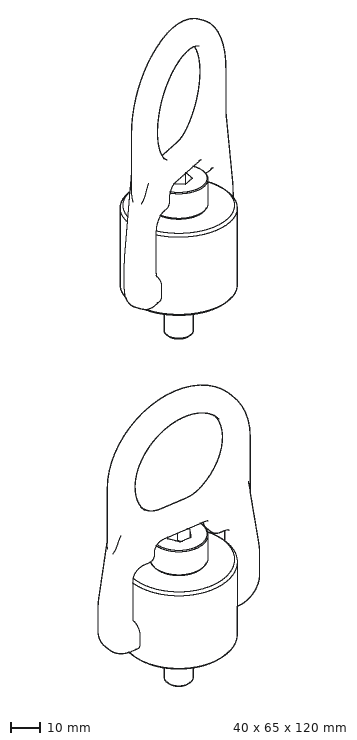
import cadquery as cq
import math


BODY_DIAMETER = 40.0
BODY_HEIGHT = 32.3
BODY_CHAMFER = 1.0
SHANK_DIAMETER = 10.0
SHANK_LENGTH = 18.0
SHANK_CHAMFER = 1.0
NECK_DIAMETER = 19.0
NECK_HEIGHT = 0.7
HEAD_DIAMETER = 20.0
HEAD_HEIGHT = 10.0
HEAD_CHAMFER = 0.4
SOCKET_ACROSS_FLATS = 8.0
SOCKET_DEPTH = 6.0

RING_TOP = 120.0 - SHANK_LENGTH
RING_THICKNESS = 8.5
RING_RADIUS = 29.0
RING_CENTER_Z = RING_TOP - RING_RADIUS
EDGE_FILLET = 3.0

CREST_HALF_WIDTH = 1.26
CREST_BLEND_RADIUS = 2.4
BEVEL_START = (2.9, 1.3)
BEVEL_END = (3.5, 2.4)
SIDE_BLEND_RADIUS = 4.8
CROWN_DEPTH = 4.3

FRAME_HALF_WIDTH = 65.0 / 2
FRAME_BOTTOM = 4.3
FRAME_CORNER_RADIUS = 10.0
FLANK_START_Z = 22.9
FLANK_BLEND_RADIUS = 30.0
FLANK_ANGLE = math.radians(9)
FRAME_TOP = 57.6

EYE_RADIUS = 20.0
EYE_FLAT_DROP = 18.4
EYE_FLAT_HALF_WIDTH = 5.3

WINDOW_BOTTOM = 14.4
WINDOW_SHOULDER_Z = 38.3
WINDOW_TOP = 45.6
WINDOW_HALF_WIDTH = 21.0
WINDOW_NECK_HALF_WIDTH = 11.9
WINDOW_CORNER_RADIUS = 4.0
WINDOW_STEP_RADIUS = 3.0


def make_body():
    body = cq.Workplane("XY").circle(BODY_DIAMETER / 2).extrude(BODY_HEIGHT)
    return body.faces("<Z or >Z").edges().chamfer(BODY_CHAMFER)


def make_screw():
    shank = cq.Workplane("XY").circle(SHANK_DIAMETER / 2).extrude(-SHANK_LENGTH)
    shank = shank.faces("<Z").edges().chamfer(SHANK_CHAMFER)

    neck = cq.Workplane("XY").workplane(offset=BODY_HEIGHT)
    neck = neck.circle(NECK_DIAMETER / 2).extrude(NECK_HEIGHT)

    head_bottom = BODY_HEIGHT + NECK_HEIGHT
    head = cq.Workplane("XY").workplane(offset=head_bottom)
    head = head.circle(HEAD_DIAMETER / 2).extrude(HEAD_HEIGHT)
    head = head.faces(">Z").edges().chamfer(HEAD_CHAMFER)

    socket = cq.Workplane("XY").workplane(offset=head_bottom + HEAD_HEIGHT)
    socket = socket.transformed(rotate=(0, 0, 90))
    socket = socket.polygon(6, SOCKET_ACROSS_FLATS / math.cos(math.pi / 6)).extrude(-SOCKET_DEPTH)
    return shank, neck.union(head.cut(socket))


def make_frame():
    """Lower part of the ring, flanks leaning inwards towards the top."""
    blend_end_y = FRAME_HALF_WIDTH - FLANK_BLEND_RADIUS * (1 - math.cos(FLANK_ANGLE))
    blend_end_z = FLANK_START_Z + FLANK_BLEND_RADIUS * math.sin(FLANK_ANGLE)
    blend_mid_y = FRAME_HALF_WIDTH - FLANK_BLEND_RADIUS * (1 - math.cos(FLANK_ANGLE / 2))
    blend_mid_z = FLANK_START_Z + FLANK_BLEND_RADIUS * math.sin(FLANK_ANGLE / 2)
    top_y = blend_end_y - (FRAME_TOP - blend_end_z) * math.tan(FLANK_ANGLE)
    corner_y = FRAME_HALF_WIDTH - FRAME_CORNER_RADIUS
    corner_z = FRAME_BOTTOM + FRAME_CORNER_RADIUS
    corner_reach = FRAME_CORNER_RADIUS * math.sqrt(0.5)

    frame = (
        cq.Workplane("YZ")
        .moveTo(0, FRAME_BOTTOM)
        .lineTo(corner_y, FRAME_BOTTOM)
        .threePointArc(
            (corner_y + corner_reach, corner_z - corner_reach),
            (FRAME_HALF_WIDTH, corner_z),
        )
        .lineTo(FRAME_HALF_WIDTH, FLANK_START_Z)
        .threePointArc((blend_mid_y, blend_mid_z), (blend_end_y, blend_end_z))
        .lineTo(top_y, FRAME_TOP)
        .lineTo(0, FRAME_TOP)
        .mirrorY()
        .extrude(RING_THICKNESS / 2, both=True)
    )
    return frame.faces("<X or >X").edges("not >Z").fillet(EDGE_FILLET)


def crown_section(base):
    """Section of the upper ring in (X, distance from the ring axis), reaching down to that axis."""
    half_thickness = RING_THICKNESS / 2
    start_x, start_drop = BEVEL_START
    end_x, end_drop = BEVEL_END
    start_r = RING_RADIUS - start_drop
    end_r = RING_RADIUS - end_drop
    side_r = RING_RADIUS - CROWN_DEPTH
    return (
        base.moveTo(-half_thickness, 0)
        .lineTo(-half_thickness, side_r)
        .radiusArc((-end_x, end_r), SIDE_BLEND_RADIUS)
        .lineTo(-start_x, start_r)
        .radiusArc((-CREST_HALF_WIDTH, RING_RADIUS), CREST_BLEND_RADIUS)
        .lineTo(CREST_HALF_WIDTH, RING_RADIUS)
        .radiusArc((start_x, start_r), CREST_BLEND_RADIUS)
        .lineTo(end_x, end_r)
        .radiusArc((half_thickness, side_r), SIDE_BLEND_RADIUS)
        .lineTo(half_thickness, 0)
        .close()
    )


def make_upper_ring():
    """Half-round arch standing on a straight block that runs down to the window top."""
    base = cq.Workplane("XY", origin=(0, 0, RING_CENTER_Z))
    arch = crown_section(base).revolve(180, (0, 0), (1, 0))
    half_block = crown_section(base).extrude(WINDOW_TOP - RING_CENTER_Z)
    return half_block.union(half_block.mirror("XZ")).union(arch)


def make_eye():
    drop = EYE_FLAT_DROP
    half_flat = EYE_FLAT_HALF_WIDTH
    blend_radius = (EYE_RADIUS**2 - half_flat**2 - drop**2) / (2 * (EYE_RADIUS - drop))
    blend_z = blend_radius - drop
    touch_angle = math.atan2(blend_z, half_flat)
    mid_angle = (touch_angle - math.pi / 2) / 2
    touch = (EYE_RADIUS * math.cos(touch_angle), EYE_RADIUS * math.sin(touch_angle))
    middle = (
        half_flat + blend_radius * math.cos(mid_angle),
        blend_z + blend_radius * math.sin(mid_angle),
    )
    return (
        cq.Workplane("YZ", origin=(0, 0, RING_CENTER_Z))
        .moveTo(-half_flat, -drop)
        .lineTo(half_flat, -drop)
        .threePointArc(middle, touch)
        .threePointArc((0, EYE_RADIUS), (-touch[0], touch[1]))
        .threePointArc((-middle[0], middle[1]), (-half_flat, -drop))
        .close()
        .extrude(RING_THICKNESS, both=True)
    )


def make_window():
    window = (
        cq.Workplane("YZ")
        .moveTo(0, WINDOW_BOTTOM)
        .lineTo(WINDOW_HALF_WIDTH, WINDOW_BOTTOM)
        .lineTo(WINDOW_HALF_WIDTH, WINDOW_SHOULDER_Z)
        .lineTo(WINDOW_NECK_HALF_WIDTH, WINDOW_SHOULDER_Z)
        .lineTo(WINDOW_NECK_HALF_WIDTH, WINDOW_TOP)
        .lineTo(0, WINDOW_TOP)
        .mirrorY()
        .extrude(RING_THICKNESS, both=True)
    )
    window = window.faces("<Y or >Y").edges("|X").fillet(WINDOW_CORNER_RADIUS)
    window = window.faces(">Z").edges("|X").fillet(WINDOW_STEP_RADIUS)
    step = cq.selectors.BoxSelector(
        (-RING_THICKNESS, -WINDOW_NECK_HALF_WIDTH - 0.1, WINDOW_SHOULDER_Z - 0.1),
        (RING_THICKNESS, WINDOW_NECK_HALF_WIDTH + 0.1, WINDOW_SHOULDER_Z + 0.1),
    )
    return window.edges("|X").edges(step).fillet(WINDOW_STEP_RADIUS)


def make_ring():
    ring = make_frame().union(make_upper_ring()).cut(make_eye()).cut(make_window())
    side_faces = ring.faces("|X").vals()
    opening_edges = [e for face in side_faces for wire in face.innerWires() for e in wire.Edges()]
    return ring.newObject(opening_edges).fillet(EDGE_FILLET)


shank, head = make_screw()
result = make_body().union(shank).union(head).union(make_ring())